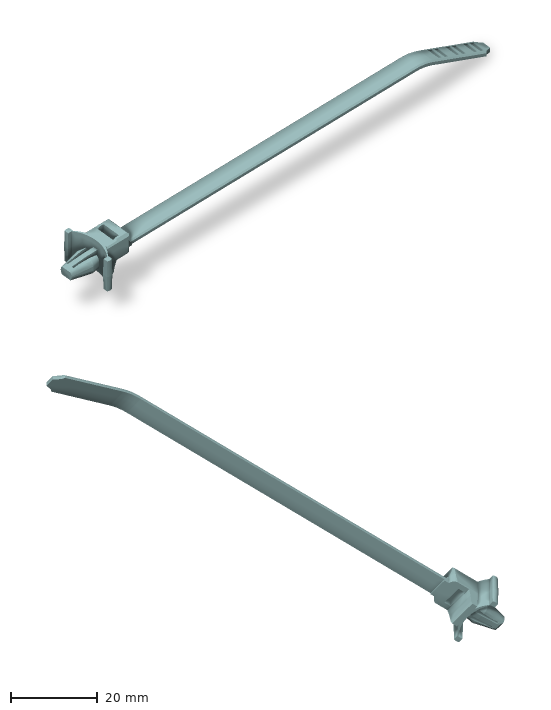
import cadquery as cq
import math

LENGTH = 131.5

STRAP_HALF_WIDTH = 2.6
STRAP_THICKNESS = 1.2
STRAP_BEVEL_WIDTH = 0.4
STRAP_BEVEL_HEIGHT = 0.33
BEND_START_Y = 106.9
BEND_LENGTH_Y = 5.0
BEND_ANGLE = 23.4

NOSE_LENGTH = 2.5
NOSE_SHOULDER_LENGTH = 1.8
NOSE_SHOULDER_HALF_WIDTH = 2.0
NOSE_TIP_HALF_WIDTH = 1.2

GRIP_GROUPS = 3
GRIP_PITCH = 6.0
GRIP_FIRST_OFFSET = 4.3
GRIP_HALF_WIDTH = 1.8
GRIP_POCKET_LENGTH = 1.5
GRIP_RIB = 0.7
GRIP_DEPTH = 0.33

HEAD_HALF_WIDTH = 4.1
HEAD_TOP_HALF_WIDTH = 3.8
HEAD_CORNER = 1.6
HEAD_FRONT_Y = 9.5
HEAD_BACK_Y = 16.8
HEAD_TOP_Z = 4.7
HEAD_BOTTOM_Z = -4.5
CAP_Z = 5.06
BACK_SLOPE_START_Z = 2.0
BACK_TOP_Y = 16.5
CAP_BACK_Y = 16.0
CAP_FRONT_Y = 12.9
CAP_STEP_Y = 12.5
UNDERSIDE_BACK_Y = 12.1
UNDERSIDE_KNEE = (11.6, -2.1)
UNDERSIDE_LOWER = (11.3, -4.0)
UNDERSIDE_FRONT_Y = 10.9
ROOF_HALF_WIDTH = 3.2
ROOF_EAVE_Z = 4.3
FOOT_END_Y = 18.1
FOOT_Z = -0.4
RAMP_END_Y = 17.5
WINDOW_HALF_WIDTH = 2.6
WINDOW_FRONT_Y = 12.2
WINDOW_BACK_Y = 14.1

WING_HALF_SPAN = 7.56
WING_THICKNESS = 0.7
WING_ARC_HALF_SPAN = 5.9
WING_ARC_EDGE_Y = 7.2
WING_END_Y = 6.0
WING_PAD_HEIGHT = 1.7
WING_PAD_BULGE = 0.3
WING_DRAFT = 1.5

PIN_WIDEST_Y = 5.8
PIN_WIDEST = (3.0, 2.2)
PIN_TIP = (1.8, 1.7)
PIN_ARM_END_Y = 7.9
PIN_ARM_END = (2.6, 2.2)
PIN_ROUND = 1.6
PIN_TIP_CHAMFER = 0.5
BLADE_HALF_WIDTH = 0.7
SLOT_FLOOR_Y = 2.9
NOTCH_FLOOR_Y = 1.2
WEB_HALF_THICKNESS = 1.2
SLOT_FLOOR_X = 1.2
SLOT_MOUTH_X = 1.7

bend = math.radians(BEND_ANGLE)
bend_radius = BEND_LENGTH_Y / math.sin(bend)
bend_end_y = BEND_START_Y + BEND_LENGTH_Y
bend_end_z = -bend_radius * (1 - math.cos(bend))


def prism_yz(points, half_width):
    """Prism across the part, centred on X = 0, from (y, z) points."""
    return cq.Workplane("YZ").polyline(points).close().extrude(half_width, both=True)


def tail_underside_z(y):
    """Height of the tail underside at a given Y."""
    return bend_end_z - (y - bend_end_y) * math.tan(bend)


def make_strap():
    start_y = WINDOW_BACK_Y
    overrun_y = LENGTH + STRAP_THICKNESS
    path = (
        cq.Workplane("YZ")
        .moveTo(start_y, 0)
        .lineTo(BEND_START_Y, 0)
        .threePointArc(
            (
                BEND_START_Y + bend_radius * math.sin(bend / 2),
                -bend_radius * (1 - math.cos(bend / 2)),
            ),
            (bend_end_y, bend_end_z),
        )
        .lineTo(overrun_y, tail_underside_z(overrun_y))
    )
    section = [
        (-STRAP_HALF_WIDTH, 0),
        (STRAP_HALF_WIDTH, 0),
        (STRAP_HALF_WIDTH, STRAP_THICKNESS - STRAP_BEVEL_HEIGHT),
        (STRAP_HALF_WIDTH - STRAP_BEVEL_WIDTH, STRAP_THICKNESS),
        (STRAP_BEVEL_WIDTH - STRAP_HALF_WIDTH, STRAP_THICKNESS),
        (-STRAP_HALF_WIDTH, STRAP_THICKNESS - STRAP_BEVEL_HEIGHT),
    ]
    strap = cq.Workplane("XZ", origin=(0, start_y, 0)).polyline(section).close().sweep(path)

    nose_right = [
        (STRAP_HALF_WIDTH, LENGTH - NOSE_LENGTH),
        (NOSE_SHOULDER_HALF_WIDTH, LENGTH - NOSE_SHOULDER_LENGTH),
        (NOSE_TIP_HALF_WIDTH, LENGTH),
    ]
    nose_left = [(-x, y) for x, y in reversed(nose_right)]
    outline = [(STRAP_HALF_WIDTH, start_y)] + nose_right + nose_left + [(-STRAP_HALF_WIDTH, start_y)]
    envelope = cq.Workplane("XY").polyline(outline).close().extrude(LENGTH / 2, both=True)
    return strap.intersect(envelope)


def make_grip_pockets():
    """Pockets cut into the top face of the tail, measured back from the nose tip."""
    tail = cq.Plane(
        origin=(0, LENGTH, tail_underside_z(LENGTH) + STRAP_THICKNESS / math.cos(bend)),
        xDir=(1, 0, 0),
        normal=(0, math.sin(bend), math.cos(bend)),
    )
    half_spacing = (GRIP_POCKET_LENGTH + GRIP_RIB) / 2
    centres = []
    for group in range(GRIP_GROUPS):
        middle = -GRIP_FIRST_OFFSET - group * GRIP_PITCH
        centres += [(0, middle - half_spacing), (0, middle + half_spacing)]
    pocket = (2 * GRIP_HALF_WIDTH, GRIP_POCKET_LENGTH)
    return cq.Workplane(tail).pushPoints(centres).rect(*pocket).extrude(-GRIP_DEPTH)


def make_head():
    side = [
        (HEAD_FRONT_Y, HEAD_BOTTOM_Z),
        (UNDERSIDE_FRONT_Y, HEAD_BOTTOM_Z),
        UNDERSIDE_LOWER,
        UNDERSIDE_KNEE,
        (UNDERSIDE_BACK_Y, FOOT_Z),
        (HEAD_BACK_Y, FOOT_Z),
        (HEAD_BACK_Y, BACK_SLOPE_START_Z),
        (BACK_TOP_Y, HEAD_TOP_Z),
        (CAP_BACK_Y, CAP_Z),
        (CAP_FRONT_Y, CAP_Z),
        (CAP_STEP_Y, HEAD_TOP_Z),
        (HEAD_FRONT_Y, HEAD_TOP_Z),
    ]
    block = prism_yz(side, HEAD_HALF_WIDTH)

    section_right = [
        (HEAD_TOP_HALF_WIDTH, HEAD_BOTTOM_Z),
        (HEAD_HALF_WIDTH, 0),
        (HEAD_TOP_HALF_WIDTH, ROOF_EAVE_Z),
        (ROOF_HALF_WIDTH, CAP_Z),
    ]
    section = section_right + [(-x, z) for x, z in reversed(section_right)]
    walls = cq.Workplane("XZ").polyline(section).close().extrude(-HEAD_BACK_Y)

    plan = (
        cq.Workplane("XY", origin=(0, HEAD_BACK_Y / 2, HEAD_BOTTOM_Z))
        .rect(2 * HEAD_HALF_WIDTH, HEAD_BACK_Y)
        .extrude(CAP_Z - HEAD_BOTTOM_Z)
        .edges("|Z and >Y")
        .fillet(HEAD_CORNER)
    )
    head = block.intersect(walls).intersect(plan)

    root = [
        (WINDOW_BACK_Y, FOOT_Z),
        (FOOT_END_Y, FOOT_Z),
        (FOOT_END_Y, 0),
        (RAMP_END_Y, STRAP_THICKNESS),
        (HEAD_BACK_Y, BACK_SLOPE_START_Z),
        (WINDOW_BACK_Y, BACK_SLOPE_START_Z),
    ]
    return head.union(prism_yz(root, STRAP_HALF_WIDTH))


def make_window():
    return (
        cq.Workplane("XY", origin=(0, (WINDOW_FRONT_Y + WINDOW_BACK_Y) / 2, 0))
        .rect(2 * WINDOW_HALF_WIDTH, WINDOW_BACK_Y - WINDOW_FRONT_Y)
        .extrude(2 * CAP_Z, both=True)
    )


def wing_half(height):
    """Arched spring plate with thick end pads, tapering upward from Z = 0."""
    pad_top_y = WING_END_Y + WING_PAD_HEIGHT
    pad_middle_y = WING_END_Y + WING_PAD_HEIGHT / 2
    pad_corner_x = WING_HALF_SPAN - WING_PAD_BULGE
    return (
        cq.Workplane("XY")
        .moveTo(-WING_ARC_HALF_SPAN, WING_ARC_EDGE_Y)
        .threePointArc((0, HEAD_FRONT_Y - WING_THICKNESS / 2), (WING_ARC_HALF_SPAN, WING_ARC_EDGE_Y))
        .lineTo(WING_ARC_HALF_SPAN, WING_END_Y)
        .lineTo(pad_corner_x, WING_END_Y)
        .threePointArc((WING_HALF_SPAN, pad_middle_y), (pad_corner_x, pad_top_y))
        .lineTo(WING_ARC_HALF_SPAN, pad_top_y)
        .threePointArc((0, HEAD_FRONT_Y + WING_THICKNESS), (-WING_ARC_HALF_SPAN, pad_top_y))
        .lineTo(-pad_corner_x, pad_top_y)
        .threePointArc((-WING_HALF_SPAN, pad_middle_y), (-pad_corner_x, WING_END_Y))
        .lineTo(-WING_ARC_HALF_SPAN, WING_END_Y)
        .close()
        .extrude(height, taper=WING_DRAFT)
    )


def make_wings():
    lower = wing_half(-HEAD_BOTTOM_Z).mirror("XY")
    return wing_half(HEAD_TOP_Z).union(lower)


def pin_segment(start_y, start_size, end_y, end_size):
    """Tapered length of the pin between two rounded rectangles given as (half X, half Z)."""
    start, end = (
        cq.Sketch().rect(2 * half_x, 2 * half_z).vertices().fillet(PIN_ROUND)
        for half_x, half_z in (start_size, end_size)
    )
    end = end.moved(cq.Location(cq.Vector(0, 0, start_y - end_y)))
    return cq.Workplane("XZ", origin=(0, start_y, 0)).placeSketch(start, end).loft(ruled=True)


def make_pin():
    barb = pin_segment(0, PIN_TIP, PIN_WIDEST_Y, PIN_WIDEST)
    barb = barb.union(pin_segment(PIN_WIDEST_Y, PIN_WIDEST, PIN_ARM_END_Y, PIN_ARM_END))

    web = cq.Workplane("XY").box(2 * SLOT_FLOOR_X, 2 * SLOT_FLOOR_Y, 2 * WEB_HALF_THICKNESS)
    for side in (-1, 1):
        slot = [
            (side * BLADE_HALF_WIDTH, SLOT_FLOOR_Y),
            (side * SLOT_FLOOR_X, SLOT_FLOOR_Y),
            (side * SLOT_MOUTH_X, PIN_ARM_END_Y),
            (side * BLADE_HALF_WIDTH, PIN_ARM_END_Y),
        ]
        barb = barb.cut(cq.Workplane("XY").polyline(slot).close().extrude(PIN_WIDEST[1], both=True))
        notch = (
            cq.Workplane("XY")
            .moveTo(side * (BLADE_HALF_WIDTH + SLOT_FLOOR_X) / 2, (NOTCH_FLOOR_Y + SLOT_FLOOR_Y) / 2)
            .rect(SLOT_FLOOR_X - BLADE_HALF_WIDTH, SLOT_FLOOR_Y - NOTCH_FLOOR_Y)
            .extrude(PIN_WIDEST[1], both=True)
        )
        barb = barb.cut(notch.cut(web))

    blade_half_z = PIN_WIDEST[1]
    tip_half_z = PIN_TIP[1]
    blade = prism_yz(
        [
            (0, -tip_half_z),
            (0, tip_half_z),
            (PIN_WIDEST_Y, blade_half_z),
            (HEAD_FRONT_Y, blade_half_z),
            (HEAD_FRONT_Y, -blade_half_z),
            (PIN_WIDEST_Y, -blade_half_z),
        ],
        BLADE_HALF_WIDTH,
    )
    pin = barb.union(blade)

    for side in (-1, 1):
        corner = [
            (0, side * (tip_half_z - PIN_TIP_CHAMFER)),
            (0, side * PIN_WIDEST[1]),
            (2 * PIN_TIP_CHAMFER, side * PIN_WIDEST[1]),
        ]
        pin = pin.cut(prism_yz(corner, PIN_WIDEST[0]))
    return pin


strap = make_strap().cut(make_grip_pockets())
head = make_head().union(make_wings()).union(strap).cut(make_window())
result = head.union(make_pin())